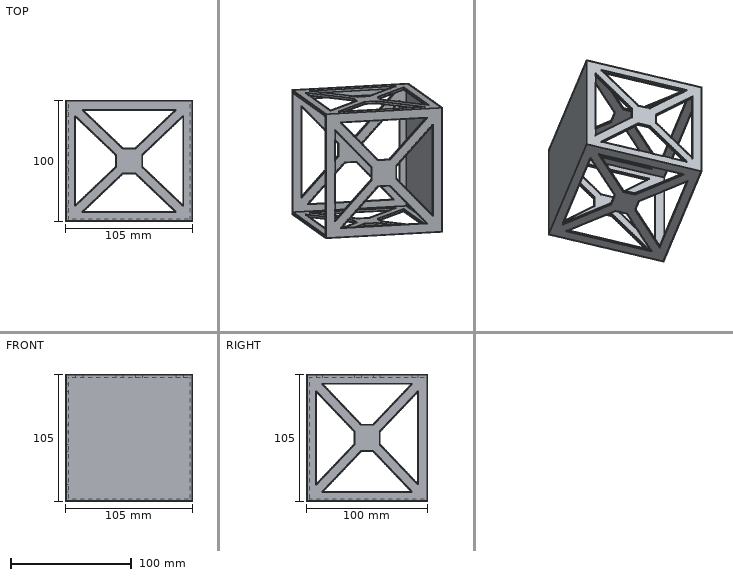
import cadquery as cq
import math

side = 105.0
depth = 100.0
wall = 2.0
rim = 7.8
strut = 8.0
hub_ratio = 0.21


def brace_openings(plane, width, height, cut_length):
    """Four openings that leave a diagonal cross with a rectangular hub."""
    inner_width = width - 2 * rim
    inner_height = height - 2 * rim
    openings = plane.rect(inner_width, inner_height).extrude(cut_length / 2, both=True)
    hub = plane.rect(width * hub_ratio, height * hub_ratio).extrude(cut_length / 2, both=True)
    openings = openings.cut(hub)
    diagonal = math.hypot(width, height)
    angle = math.degrees(math.atan2(height, width))
    for strut_angle in (angle, -angle):
        bar = plane.transformed(rotate=(0, 0, strut_angle)).rect(diagonal, strut)
        openings = openings.cut(bar.extrude(cut_length / 2, both=True))
    return openings


box = cq.Workplane("XY").box(side, depth, side)
cavity_size = side - 2 * wall
cavity = cq.Workplane("XY").box(cavity_size, depth, cavity_size).translate((0, wall, 0))
result = box.cut(cavity)

cut_length = side + 2 * wall
result = result.cut(brace_openings(cq.Workplane("XY"), side, depth, cut_length))
result = result.cut(brace_openings(cq.Workplane("YZ"), depth, side, cut_length))